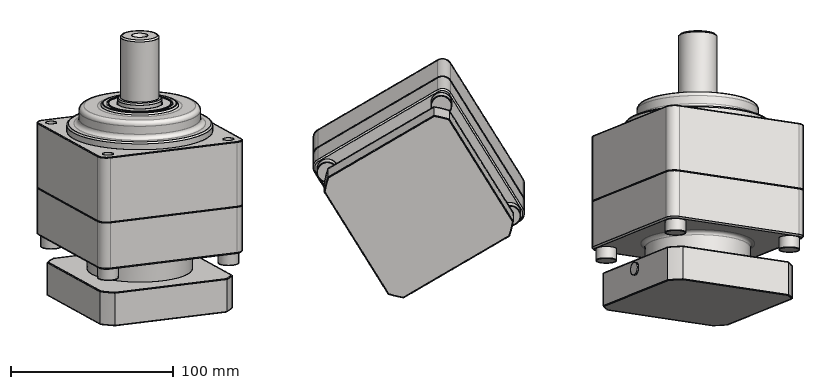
import cadquery as cq
import math

TOTAL_HEIGHT = 170.0

PLATE_SIDE = 90.0
PLATE_TOP = 21.5
PLATE_FLAT_LENGTH = 76.2
PLATE_CORNER_DIAMETER = math.hypot(PLATE_SIDE, PLATE_FLAT_LENGTH)
PLATE_CHAMFER = 0.5

PLUG_DIAMETER = 8.0
PLUG_HEIGHT = 15.6
PLUG_PROTRUSION = 1.0
PLUG_SEAT_DEPTH = 1.7

NECK_DIAMETER = 65.0
NECK_FILLET = 2.5

HOUSING_SIDE = 98.0
HOUSING_BOTTOM = 37.5
HOUSING_SPLIT = 67.7
HOUSING_TOP = 109.1
HOUSING_CORNER_RADIUS = 6.0
HOUSING_TOP_CHAMFER = 0.5
HOUSING_BOTTOM_CHAMFER = 1.0
SPLIT_CHAMFER = 0.3

SCREW_SPACING = 82.0
SCREW_HEAD_DIAMETER = 13.0
SCREW_HEAD_BOTTOM = 30.1
SCREW_HEAD_CHAMFER = 0.3
SCREW_HOLE_DIAMETER = 6.6
SCREW_HOLE_DEPTH = 17.0
DRILL_POINT_ANGLE = 118.0

FLANGE_DIAMETER = 90.0
FLANGE_TOP = 113.9
FLANGE_CHAMFER = 1.0
BOSS_DIAMETER = 75.0
BOSS_TOP = 125.1
BOSS_FILLET = 3.0
COVER_FOOT_DIAMETER = 52.0
COVER_DIAMETER = 48.0
COVER_RIM_DIAMETER = 45.9
COVER_TOP_DIAMETER = 45.0
COVER_TOP = 126.8
COVER_RIM_CHAMFER_HEIGHT = 0.2
COVER_CONE_HEIGHT = 1.0
SEAL_GROOVE_OUTER_DIAMETER = 40.6
SEAL_GROOVE_WIDTH = 1.2
SEAL_GROOVE_DEPTH = 0.8
COVER_BORE_DIAMETER = 28.0
COVER_BORE_DEPTH = 0.8
COLLAR_DIAMETER = 27.4
COLLAR_SHOULDER = 129.0
COLLAR_TOP_DIAMETER = 26.5
COLLAR_TOP = 130.2
SHAFT_ROOT_HEIGHT = 0.3
SHAFT_DIAMETER = 24.0
SHAFT_CHAMFER = 1.0

CENTRE_HOLE_DIAMETER = 7.0
CENTRE_HOLE_MOUTH_DIAMETER = 9.9
CENTRE_HOLE_DEPTH = 13.6
CENTRE_MOUTH_DEPTH = 2.5


def drill(diameter, top, depth):
    """Vertical drill shape with a conical point, its mouth at the level `top`."""
    radius = diameter / 2
    point_length = radius / math.tan(math.radians(DRILL_POINT_ANGLE / 2))
    return (
        cq.Workplane("XZ")
        .moveTo(0, top)
        .lineTo(radius, top)
        .lineTo(radius, top - depth)
        .lineTo(0, top - depth - point_length)
        .close()
        .revolve(360, (0, 0, 0), (0, 1, 0))
    )


def screw_positions():
    half = SCREW_SPACING / 2
    return [(x, y) for x in (-half, half) for y in (-half, half)]


def make_plate():
    square = cq.Workplane("XY").rect(PLATE_SIDE, PLATE_SIDE).extrude(PLATE_TOP)
    disc = cq.Workplane("XY").circle(PLATE_CORNER_DIAMETER / 2).extrude(PLATE_TOP)
    plate = square.intersect(disc).faces("<Z or >Z").chamfer(PLATE_CHAMFER)
    plug = (
        cq.Workplane("XZ", origin=(0, PLATE_SIDE / 2 + PLUG_PROTRUSION, PLUG_HEIGHT))
        .circle(PLUG_DIAMETER / 2)
        .extrude(PLUG_PROTRUSION + PLUG_SEAT_DEPTH)
    )
    return plate.union(plug)


def make_neck():
    """Neck flaring into the housing underside through a fillet."""
    radius = NECK_DIAMETER / 2
    return (
        cq.Workplane("XZ")
        .moveTo(0, PLATE_TOP)
        .lineTo(radius, PLATE_TOP)
        .lineTo(radius, HOUSING_BOTTOM - NECK_FILLET)
        .radiusArc((radius + NECK_FILLET, HOUSING_BOTTOM), NECK_FILLET)
        .lineTo(0, HOUSING_BOTTOM)
        .close()
        .revolve(360, (0, 0, 0), (0, 1, 0))
    )


def make_housing_half(bottom, top, bottom_chamfer, top_chamfer):
    return (
        cq.Workplane("XY", origin=(0, 0, bottom))
        .rect(HOUSING_SIDE, HOUSING_SIDE)
        .extrude(top - bottom)
        .edges("|Z")
        .fillet(HOUSING_CORNER_RADIUS)
        .faces("<Z")
        .chamfer(bottom_chamfer)
        .faces(">Z")
        .chamfer(top_chamfer)
    )


def make_screw_heads():
    return (
        cq.Workplane("XY", origin=(0, 0, SCREW_HEAD_BOTTOM))
        .pushPoints(screw_positions())
        .circle(SCREW_HEAD_DIAMETER / 2)
        .extrude(HOUSING_BOTTOM - SCREW_HEAD_BOTTOM)
        .faces("<Z")
        .chamfer(SCREW_HEAD_CHAMFER)
    )


def make_output_side():
    """Flange, boss, seal cover, collar and shaft as one turned profile."""
    flange = FLANGE_DIAMETER / 2
    boss = BOSS_DIAMETER / 2
    groove_outer = SEAL_GROOVE_OUTER_DIAMETER / 2
    groove_inner = groove_outer - SEAL_GROOVE_WIDTH
    groove_floor = COVER_TOP - SEAL_GROOVE_DEPTH
    collar = COLLAR_DIAMETER / 2
    shaft = SHAFT_DIAMETER / 2
    bore_floor = COVER_TOP - COVER_BORE_DEPTH
    cover_rim = COVER_TOP - COVER_RIM_CHAMFER_HEIGHT
    return (
        cq.Workplane("XZ")
        .moveTo(0, HOUSING_TOP)
        .lineTo(flange, HOUSING_TOP)
        .lineTo(flange, FLANGE_TOP - FLANGE_CHAMFER)
        .lineTo(flange - FLANGE_CHAMFER, FLANGE_TOP)
        .lineTo(boss + BOSS_FILLET, FLANGE_TOP)
        .radiusArc((boss, FLANGE_TOP + BOSS_FILLET), BOSS_FILLET)
        .lineTo(boss, BOSS_TOP - BOSS_FILLET)
        .radiusArc((boss - BOSS_FILLET, BOSS_TOP), -BOSS_FILLET)
        .lineTo(COVER_FOOT_DIAMETER / 2, BOSS_TOP)
        .tangentArcPoint((COVER_DIAMETER / 2, cover_rim - COVER_CONE_HEIGHT), relative=False)
        .lineTo(COVER_RIM_DIAMETER / 2, cover_rim)
        .lineTo(COVER_TOP_DIAMETER / 2, COVER_TOP)
        .lineTo(groove_outer, COVER_TOP)
        .lineTo(groove_outer, groove_floor)
        .lineTo(groove_inner, groove_floor)
        .lineTo(groove_inner, COVER_TOP)
        .lineTo(COVER_BORE_DIAMETER / 2, COVER_TOP)
        .lineTo(COVER_BORE_DIAMETER / 2, bore_floor)
        .lineTo(collar, bore_floor)
        .lineTo(collar, COLLAR_SHOULDER)
        .lineTo(COLLAR_TOP_DIAMETER / 2, COLLAR_TOP)
        .lineTo(shaft, COLLAR_TOP + SHAFT_ROOT_HEIGHT)
        .lineTo(shaft, TOTAL_HEIGHT - SHAFT_CHAMFER)
        .lineTo(shaft - SHAFT_CHAMFER, TOTAL_HEIGHT)
        .lineTo(0, TOTAL_HEIGHT)
        .close()
        .revolve(360, (0, 0, 0), (0, 1, 0))
    )


def make_centre_hole():
    """Drilled hole with a conical mouth in the shaft end."""
    mouth = cq.Workplane("XY").add(
        cq.Solid.makeCone(
            CENTRE_HOLE_DIAMETER / 2,
            CENTRE_HOLE_MOUTH_DIAMETER / 2,
            CENTRE_MOUTH_DEPTH,
            pnt=cq.Vector(0, 0, TOTAL_HEIGHT - CENTRE_MOUTH_DEPTH),
        )
    )
    return drill(CENTRE_HOLE_DIAMETER, TOTAL_HEIGHT, CENTRE_HOLE_DEPTH).union(mouth)


lower_half = make_housing_half(HOUSING_BOTTOM, HOUSING_SPLIT, HOUSING_BOTTOM_CHAMFER, SPLIT_CHAMFER)
upper_half = make_housing_half(HOUSING_SPLIT, HOUSING_TOP, SPLIT_CHAMFER, HOUSING_TOP_CHAMFER)

result = (
    make_plate()
    .union(make_neck())
    .union(lower_half)
    .union(upper_half)
    .union(make_screw_heads())
    .union(make_output_side())
    .cut(make_centre_hole())
)

screw_hole = drill(SCREW_HOLE_DIAMETER, HOUSING_TOP, SCREW_HOLE_DEPTH)
for x, y in screw_positions():
    result = result.cut(screw_hole.translate((x, y, 0)))